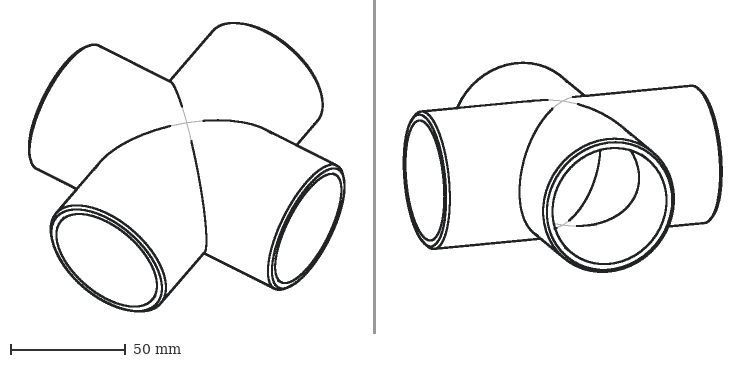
import cadquery as cq

length = 127.0
outer_diameter = 60.3
bore_diameter = 52.6
chamfer = 1.3


def crossed_cylinders(diameter):
    """Two full-length cylinders crossing at right angles, along X and Y."""
    along_x = cq.Workplane("YZ").circle(diameter / 2).extrude(length / 2, both=True)
    along_y = cq.Workplane("XZ").circle(diameter / 2).extrude(length / 2, both=True)
    return along_x.union(along_y)


def chamfer_pipe_ends(body):
    """Bevel the outer rim of each of the four open ends."""
    for end in ("<X", ">X", "<Y", ">Y"):
        body = body.faces(end).edges().chamfer(chamfer)
    return body


outer = chamfer_pipe_ends(crossed_cylinders(outer_diameter))
result = outer.cut(crossed_cylinders(bore_diameter))